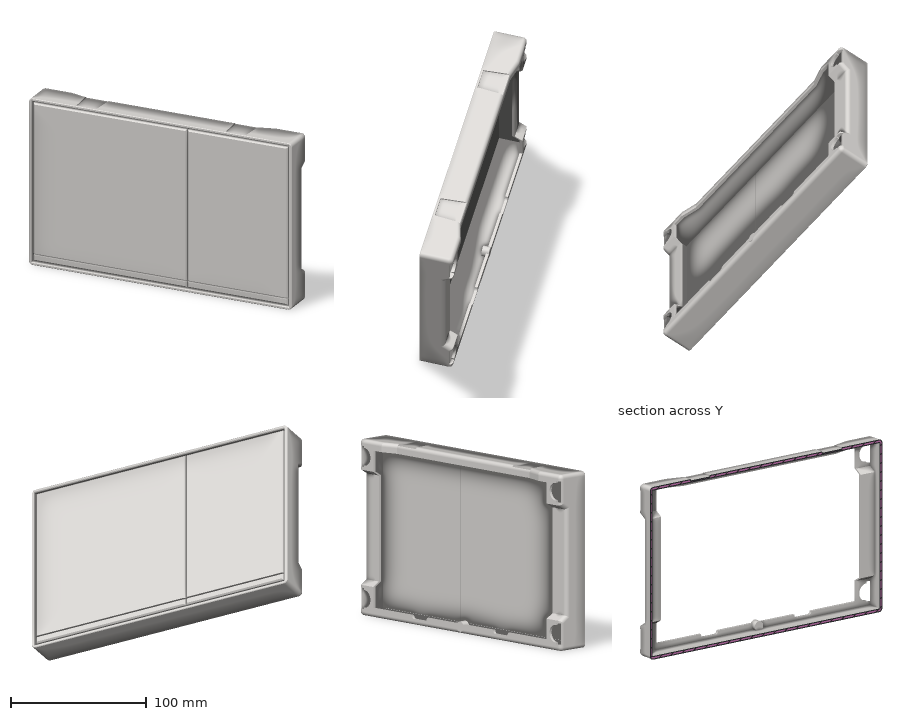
import cadquery as cq
LENGTH = 214.0
DEPTH = 25.3
HEIGHT = 131.8
FRONT_Y = -DEPTH / 2
BACK_Y = DEPTH / 2
EDGE_RADIUS = 3.0
FRONT_CHAMFER = 0.5

SIDE_WALL = 2.1
TOP_WALL = 2.4
RIM_CHAMFER = 0.6
FLANGE_THICKNESS = 2.1
WINDOW_LENGTH = 184.0
WINDOW_HEIGHT = 117.7

SIDE_NOTCH_DEPTH = 5.8
SIDE_NOTCH_HALF_MOUTH = 43.0
SIDE_NOTCH_HALF_FLOOR = 39.5
SIDE_NOTCH_REACH = 17.1
TOP_NOTCH_DEPTH = 3.5
TOP_NOTCH_HALF_MOUTH = 83.0
TOP_NOTCH_HALF_FLOOR = 70.5
TOP_NOTCH_REACH = 12.8

SLOT_Z = 53.0
SLOT_WIDTH = 16.0
SLOT_REACH = 5.4
SLOT_DEPTH = 2.4
SLOT_END_RADIUS = 6.6

BOSS_RADIUS = 3.9
BOSS_HEIGHT = 5.5
BOSS_Z = -60.8
RELIEF_X = 43.0
RELIEF_WIDTH = 15.6
RELIEF_DEPTH = 2.5
RELIEF_RADIUS = 2.4

CLIP_X = 60.8
CLIP_RECESS_BACK_WIDTH = 19.3
CLIP_RECESS_FRONT_WIDTH = 16.3
CLIP_RECESS_FRONT_GAP = 1.7
CLIP_RECESS_DEPTH = 1.0
CLIP_MARGIN = 0.6

KEY_EDGE_X = 103.5
KEY_EDGE_Z = 62.5
KEY_SPLIT_LEFT = 21.5
KEY_SPLIT_RIGHT = 22.0
KEY_CHAMFER = 1.0
KEY_THICKNESS = 4.3
GROOVE_TOP_Z = -56.5
GROOVE_WIDTH = 1.3
GROOVE_DEPTH = 2.0

TOP_Z = HEIGHT / 2
LEFT_X = -LENGTH / 2
WALL_INNER_Z = TOP_Z - TOP_WALL
WINDOW_SILL_Z = -WINDOW_HEIGHT / 2
TOP_NOTCH_FLOOR_Y = BACK_Y - TOP_NOTCH_DEPTH
CLIP_POSITIONS = (-CLIP_X, CLIP_X)


def block(x_min, x_max, y_min, y_max, z_min, z_max):
    """Box given by its limits along each axis."""
    size = (x_max - x_min, y_max - y_min, z_max - z_min)
    return cq.Workplane("XY").box(*size, centered=False).translate((x_min, y_min, z_min))


def mirrored_pair(shape, plane):
    """The shape together with its mirror image."""
    return shape.union(shape.mirror(plane))


def notch_outline(half_mouth, half_floor, depth, shift):
    """Corner points of a symmetric notch, moved forward by shift; its sloped ends run on past the back."""
    half_overrun = 2 * half_mouth - half_floor
    overrun = BACK_Y + depth - shift
    floor = BACK_Y - depth - shift
    return [(-half_overrun, overrun), (-half_floor, floor), (half_floor, floor), (half_overrun, overrun)]


def back_notches(shift=0.0):
    """Material missing from the back: both ends and the top."""
    side_points = notch_outline(SIDE_NOTCH_HALF_MOUTH, SIDE_NOTCH_HALF_FLOOR, SIDE_NOTCH_DEPTH, shift)
    side = (
        cq.Workplane("YZ")
        .polyline([(y, z) for z, y in side_points])
        .close()
        .extrude(SIDE_NOTCH_REACH)
        .translate((LEFT_X, 0, 0))
    )
    top_points = notch_outline(TOP_NOTCH_HALF_MOUTH, TOP_NOTCH_HALF_FLOOR, TOP_NOTCH_DEPTH, shift)
    top = (
        cq.Workplane("XY")
        .polyline(top_points)
        .close()
        .extrude(-TOP_NOTCH_REACH)
        .translate((0, 0, TOP_Z))
    )
    return mirrored_pair(side, "YZ").union(top)


def frame_shell():
    """Rounded outer block with its notched back edge and chamfered front edge."""
    body = cq.Workplane("XY").box(LENGTH, DEPTH, HEIGHT)
    body = body.edges("|Y").fillet(EDGE_RADIUS)
    body = body.cut(back_notches())
    outer_faces = body.faces("<X or >X or <Z or >Z")
    body = outer_faces.edges("(not |Y) and (not <Y)").fillet(EDGE_RADIUS)
    return body.faces("<Y").chamfer(FRONT_CHAMFER)


def frame_cavity():
    """Hollow behind the keys; it follows the notches one flange thickness in front of them."""
    half_length = LENGTH / 2 - SIDE_WALL
    cavity = block(
        -half_length, half_length, FRONT_Y, BACK_Y - FLANGE_THICKNESS, -WALL_INNER_Z, WALL_INNER_Z
    )
    cavity = cavity.cut(back_notches(FLANGE_THICKNESS))
    rim = (
        cq.Workplane("YZ")
        .polyline([
            (FRONT_Y, WALL_INNER_Z),
            (FRONT_Y, WALL_INNER_Z + RIM_CHAMFER),
            (FRONT_Y + RIM_CHAMFER, WALL_INNER_Z),
        ])
        .close()
        .extrude(half_length, both=True)
    )
    return cavity.union(mirrored_pair(rim, "XY"))


def corner_slots():
    """Four slots through the flange corners, open to the frame ends, each with a half-round end."""
    inner_x = LEFT_X + SLOT_REACH
    bottom_z = SLOT_Z - SLOT_WIDTH / 2
    mouth = block(LEFT_X, inner_x, BACK_Y - SLOT_DEPTH, BACK_Y, bottom_z, bottom_z + SLOT_WIDTH)
    end = (
        cq.Workplane("XZ", origin=(inner_x, BACK_Y, SLOT_Z))
        .circle(SLOT_END_RADIUS)
        .extrude(SLOT_DEPTH)
    )
    return mirrored_pair(mirrored_pair(mouth.union(end), "YZ"), "XY")


def bottom_reliefs():
    """Two shallow round-cornered notches in the edge of the bottom flange."""
    relief = (
        block(
            RELIEF_X - RELIEF_WIDTH / 2,
            RELIEF_X + RELIEF_WIDTH / 2,
            BACK_Y - FLANGE_THICKNESS,
            BACK_Y,
            WINDOW_SILL_Z - RELIEF_DEPTH,
            WINDOW_SILL_Z + RELIEF_DEPTH,
        )
        .edges("|Y")
        .fillet(RELIEF_RADIUS)
    )
    return mirrored_pair(relief, "YZ")


def bottom_boss():
    """Round boss standing on the front of the bottom flange at mid-length."""
    return (
        cq.Workplane("XZ", origin=(0, BACK_Y, BOSS_Z))
        .circle(BOSS_RADIUS)
        .extrude(BOSS_HEIGHT)
    )


def clip_prism(x, margin, z_bottom, z_top):
    """Prism tapering toward the front, inset from the recess outline by margin."""
    back = TOP_NOTCH_FLOOR_Y - margin
    front = FRONT_Y + CLIP_RECESS_FRONT_GAP + margin
    half_back = CLIP_RECESS_BACK_WIDTH / 2 - margin
    half_front = CLIP_RECESS_FRONT_WIDTH / 2 - margin
    return (
        cq.Workplane("XY", origin=(x, 0, z_bottom))
        .polyline([(-half_back, back), (half_back, back), (half_front, front), (-half_front, front)])
        .close()
        .extrude(z_top - z_bottom)
    )


def clip(x):
    """Clip that fills its opening in the top wall, up to the floor of the recess."""
    return clip_prism(x, CLIP_MARGIN, WALL_INNER_Z, TOP_Z - CLIP_RECESS_DEPTH)


def clip_recess(x):
    """Shallow recess in the top wall around a clip."""
    return clip_prism(x, 0, TOP_Z - CLIP_RECESS_DEPTH, TOP_Z)


def build_frame():
    """Housing: hollow block with a flange around its open back and two clip openings."""
    window = block(
        -WINDOW_LENGTH / 2, WINDOW_LENGTH / 2, FRONT_Y, BACK_Y, WINDOW_SILL_Z, -WINDOW_SILL_Z
    )
    body = frame_shell().cut(frame_cavity()).cut(window)
    body = body.cut(corner_slots()).cut(bottom_reliefs()).union(bottom_boss())
    for x in CLIP_POSITIONS:
        body = body.cut(clip_recess(x)).cut(clip(x))
    return body


def push_key(x_min, x_max):
    """Plate flush with the frame front, with a chamfered front edge and a groove across its lower part."""
    plate = block(x_min, x_max, FRONT_Y, FRONT_Y + KEY_THICKNESS, -KEY_EDGE_Z, KEY_EDGE_Z)
    plate = plate.faces("<Y").chamfer(KEY_CHAMFER)
    groove = block(
        x_min, x_max, FRONT_Y, FRONT_Y + GROOVE_DEPTH, GROOVE_TOP_Z - GROOVE_WIDTH, GROOVE_TOP_Z
    )
    return plate.cut(groove)


frame = build_frame()
clips = [clip(x) for x in CLIP_POSITIONS]
large_key = push_key(-KEY_EDGE_X, KEY_SPLIT_LEFT)
small_key = push_key(KEY_SPLIT_RIGHT, KEY_EDGE_X)

result = cq.Compound.makeCompound(
    [frame.val(), large_key.val(), small_key.val(), *[one_clip.val() for one_clip in clips]]
)